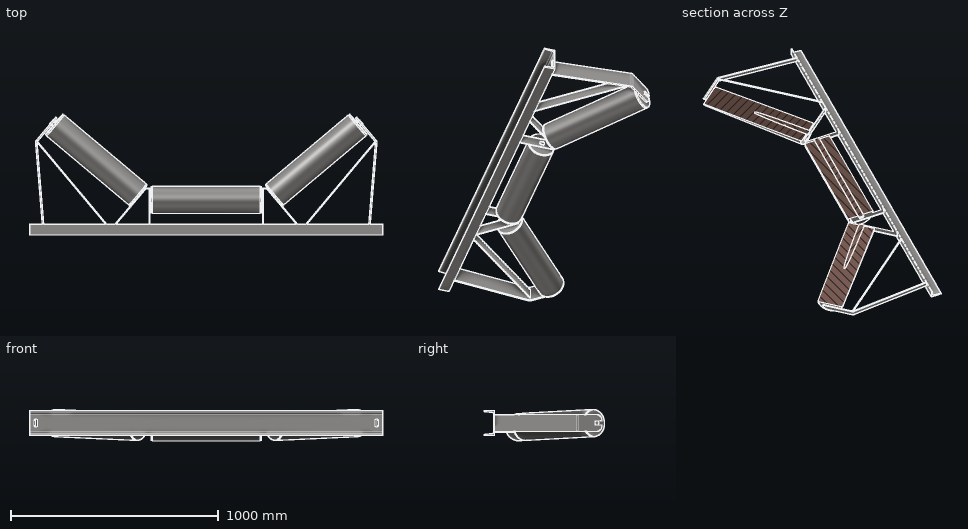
import cadquery as cq
import math


BEAM_LENGTH = 1700.0
BEAM_HEIGHT = 120.0
FLANGE_WIDTH = 53.0
WEB_THICKNESS = 5.0
FLANGE_MID_THICKNESS = 8.0
FLANGE_TAPER = 0.1
ROOT_RADIUS = 8.0
TOE_RADIUS = 3.0
MOUNT_SLOT_WIDTH = 17.0
MOUNT_SLOT_HEIGHT = 37.0
MOUNT_SLOT_INSET = 30.0

ROLLER_DIAMETER = 133.0
ROLLER_LENGTH = 530.0
RIM_WIDTH = 7.0
RIM_STEP = 2.0
SHAFT_DIAMETER = 24.0
SHAFT_FLAT_WIDTH = 19.0
SHAFT_PROTRUSION = 2.0
CENTRE_ROLLER_Y = 117.0
CENTRE_ROLLER_Z = -20.0

TROUGH_ANGLE = 40.0
TILT_ANGLE = 2.0
WING_X = 529.0
WING_Y = 310.0
WING_Z = -9.4

OUTER_WIDTH = 82.0
OUTER_THICKNESS = 8.0
OUTER_GAP = 8.0
OUTER_FOOT_X = 785.0
OUTER_KNEE_DROP = 119.0
OUTER_KNEE_RADIUS = 14.0
OUTER_TIP_RISE = 32.0
OUTER_TIP_RADIUS = 27.0
INNER_WIDTH = 51.0
INNER_THICKNESS = 5.0
INNER_GAP = 2.0
INNER_TOP_Y = 172.0
POST_GAP = 5.0
BRACE_WIDTH = 51.0
BRACE_THICKNESS = 5.0
BRACE_HEAD_RISE = 3.0
BRACE_FOOT_X = 480.0

OUTER_SHAFT_END = OUTER_GAP + OUTER_THICKNESS + SHAFT_PROTRUSION
INNER_SHAFT_END = INNER_GAP + INNER_THICKNESS
CENTRE_SHAFT_END = POST_GAP + INNER_THICKNESS

FOOT_Y = -WEB_THICKNESS / 2
COS_TROUGH = math.cos(math.radians(TROUGH_ANGLE))
SIN_TROUGH = math.sin(math.radians(TROUGH_ANGLE))


def wing_point(along, across):
    """XY point measured from the wing roller's middle, along and square to its axis."""
    x = WING_X + along * COS_TROUGH - across * SIN_TROUGH
    y = WING_Y + along * SIN_TROUGH + across * COS_TROUGH
    return (x, y)


def across_at_height(along, y):
    """How far across the wing axis, at a place along it, a given Y is reached."""
    return (y - WING_Y - along * SIN_TROUGH) / COS_TROUGH


def both_sides(right_body):
    return right_body.union(right_body.mirror("YZ"))


def place_centre(body):
    return body.translate((0, CENTRE_ROLLER_Y, CENTRE_ROLLER_Z))


def place_wing(body):
    tilted = body.rotate((0, 0, 0), (0, 1, 0), -TILT_ANGLE)
    troughed = tilted.rotate((0, 0, 0), (0, 0, 1), TROUGH_ANGLE)
    return troughed.translate((WING_X, WING_Y, WING_Z))


def along_x(diameter, start, end):
    return cq.Workplane("YZ", origin=(start, 0, 0)).circle(diameter / 2).extrude(end - start)


def make_shaft(left_end, right_end):
    """Round bar through the roller, with two flats on the ends that stick out."""
    half = ROLLER_LENGTH / 2
    shaft = along_x(SHAFT_DIAMETER, -half - left_end, half + right_end)
    flats = cq.Workplane("XY").box(2 * ROLLER_LENGTH, SHAFT_DIAMETER, SHAFT_FLAT_WIDTH)
    return shaft.intersect(flats.union(along_x(SHAFT_DIAMETER, -half, half)))


def make_centre_shaft():
    return make_shaft(CENTRE_SHAFT_END, CENTRE_SHAFT_END)


def make_wing_shaft():
    return make_shaft(INNER_SHAFT_END, OUTER_SHAFT_END)


def make_roller():
    half = ROLLER_LENGTH / 2
    body = along_x(ROLLER_DIAMETER, RIM_WIDTH - half, half - RIM_WIDTH)
    rims = along_x(ROLLER_DIAMETER - 2 * RIM_STEP, -half, half)
    bore = along_x(SHAFT_DIAMETER, -half, half)
    return body.union(rims).cut(bore)


def make_shaft_slot():
    """Cutter beyond the +X end of the roller, opening the shaft's seat towards +Y."""
    slot = cq.Workplane("XY").box(
        2 * OUTER_SHAFT_END, ROLLER_DIAMETER, SHAFT_FLAT_WIDTH, centered=(False, False, True)
    )
    return slot.translate((ROLLER_LENGTH / 2, 0, 0))


def make_beam():
    half_height = BEAM_HEIGHT / 2
    taper_rise = FLANGE_TAPER * FLANGE_WIDTH / 2
    toe_z = half_height - FLANGE_MID_THICKNESS + taper_rise
    root_z = toe_z - FLANGE_TAPER * (FLANGE_WIDTH - WEB_THICKNESS)
    half_profile = [
        (0, 0),
        (0, half_height),
        (-FLANGE_WIDTH, half_height),
        (-FLANGE_WIDTH, toe_z),
        (-WEB_THICKNESS, root_z),
        (-WEB_THICKNESS, 0),
    ]
    end_plane = cq.Workplane("YZ", origin=(-BEAM_LENGTH / 2, 0, 0))
    half = end_plane.polyline(half_profile).close().extrude(BEAM_LENGTH)
    root_edge = cq.NearestToPointSelector((0, -WEB_THICKNESS, root_z))
    half = half.edges(root_edge).fillet(ROOT_RADIUS)
    toe_edge = cq.NearestToPointSelector((0, -FLANGE_WIDTH, toe_z))
    half = half.edges(toe_edge).fillet(TOE_RADIUS)
    beam = half.union(half.mirror("XY"))
    slot_x = BEAM_LENGTH / 2 - MOUNT_SLOT_INSET
    slots = (
        cq.Workplane("XZ")
        .pushPoints([(-slot_x, 0), (slot_x, 0)])
        .slot2D(MOUNT_SLOT_HEIGHT, MOUNT_SLOT_WIDTH, 90)
        .extrude(WEB_THICKNESS)
    )
    return beam.cut(slots)


def mitred_offset(path, distance):
    """The XY path moved sideways to its left by a distance, with mitred corners."""
    headings = [math.atan2(b[1] - a[1], b[0] - a[0]) for a, b in zip(path, path[1:])]
    moved = []
    for i, (x, y) in enumerate(path):
        before = headings[max(i - 1, 0)]
        after = headings[min(i, len(headings) - 1)]
        reach = distance / math.cos((after - before) / 2)
        normal = (before + after) / 2 + math.pi / 2
        moved.append((x + reach * math.cos(normal), y + reach * math.sin(normal)))
    return moved


def folded_strip(path, thickness, width, middle_z):
    """A flat strip on edge, whose middle line follows the XY path."""
    left = mitred_offset(path, thickness / 2)
    right = mitred_offset(path, -thickness / 2)
    base = cq.Workplane("XY", origin=(0, 0, middle_z - width / 2))
    return base.polyline(left + right[::-1]).close().extrude(width)


def edges_near(point, reach):
    """Selector for the edges centred within a reach in X and Y of an XY point."""
    x, y = point
    low = (x - reach, y - reach, -BEAM_HEIGHT)
    high = (x + reach, y + reach, BEAM_HEIGHT)
    return cq.selectors.BoxSelector(low, high)


OUTER_ALONG = ROLLER_LENGTH / 2 + OUTER_GAP + OUTER_THICKNESS / 2
OUTER_KNEE = wing_point(OUTER_ALONG, -OUTER_KNEE_DROP)
OUTER_TIP = wing_point(OUTER_ALONG, OUTER_TIP_RISE)


def make_outer_bracket():
    path = [(OUTER_FOOT_X, FOOT_Y), OUTER_KNEE, OUTER_TIP]
    strip = folded_strip(path, OUTER_THICKNESS, OUTER_WIDTH, 0)
    knee_outside = strip.edges("|Z").edges(edges_near(OUTER_KNEE, OUTER_THICKNESS)).edges(">X")
    strip = knee_outside.fillet(OUTER_KNEE_RADIUS)
    through_sheet = cq.selectors.ParallelDirSelector(cq.Vector(COS_TROUGH, SIN_TROUGH, 0))
    tip_corners = strip.edges(through_sheet).edges(edges_near(OUTER_TIP, OUTER_THICKNESS))
    strip = tip_corners.fillet(OUTER_TIP_RADIUS)
    return strip.cut(place_wing(make_shaft_slot()))


def make_inner_bracket():
    post_x = ROLLER_LENGTH / 2 + POST_GAP + INNER_THICKNESS / 2
    along = -(ROLLER_LENGTH / 2 + INNER_GAP + INNER_THICKNESS / 2)
    leg_top = wing_point(along, across_at_height(along, INNER_TOP_Y))
    leg_foot = wing_point(along, across_at_height(along, FOOT_Y))
    path = [(post_x, FOOT_Y), (post_x, INNER_TOP_Y), leg_top, leg_foot]
    return folded_strip(path, INNER_THICKNESS, INNER_WIDTH, CENTRE_ROLLER_Z)


def make_brace():
    head = wing_point(OUTER_ALONG, BRACE_HEAD_RISE - OUTER_KNEE_DROP)
    path = [(BRACE_FOOT_X, FOOT_Y), head]
    return folded_strip(path, BRACE_THICKNESS, BRACE_WIDTH, 0)


def make_frame(shafts):
    side = make_outer_bracket().union(make_inner_bracket()).union(make_brace())
    frame = make_beam().union(both_sides(side))
    for shaft in shafts:
        frame = frame.cut(shaft)
    return frame


wing_shaft = place_wing(make_wing_shaft())
shafts = [place_centre(make_centre_shaft()), wing_shaft, wing_shaft.mirror("YZ")]

wing_roller = place_wing(make_roller())
rollers = [place_centre(make_roller()), wing_roller, wing_roller.mirror("YZ")]

frame = make_frame(shafts)

bodies = [frame] + rollers + shafts
result = cq.Compound.makeCompound([body.val() for body in bodies])